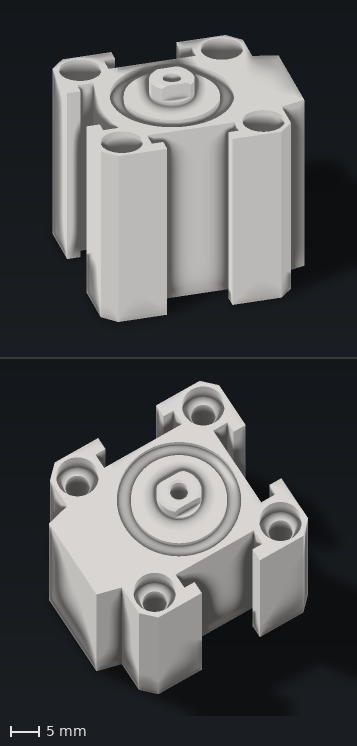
import cadquery as cq

width = 35.0
total_depth = 39.5
total_height = 38.0
rod_projection = 4.0
housing_height = total_height - rod_projection
half_width = width / 2
corner_chamfer = 2.5

lug_base_width = 18.4
lug_tip_width = 16.05
lug_tip_y = total_depth - half_width

slot_mouth_width = 12.0
slot_inner_width = 16.2
slot_lip = 2.5
slot_depth = 5.45

bolt_spacing = 26.07
bolt_diameter = 4.3
counterbore_diameter = 7.5
counterbore_depth = 4.5

groove_outer_diameter = 22.0
groove_inner_diameter = 17.0
groove_depth = 1.5

rod_diameter = 8.0
rod_embedded_length = 11.85
rod_chamfer = 0.5
flat_width = 6.0
flat_height = 3.0
flat_cut = (rod_diameter - flat_width) / 2
flat_offset = (rod_diameter + flat_width) / 4
rod_hole_diameter = 3.25
rod_hole_mouth_diameter = 4.1
rod_hole_chamfer = (rod_hole_mouth_diameter - rod_hole_diameter) / 2
rod_hole_depth = 7.9


def make_lug():
    """Tapered lug standing on the back face of the square block."""
    return (
        cq.Workplane("XY")
        .polyline([
            (-lug_base_width / 2, half_width),
            (lug_base_width / 2, half_width),
            (lug_tip_width / 2, lug_tip_y),
            (-lug_tip_width / 2, lug_tip_y),
        ])
        .close()
        .extrude(housing_height)
    )


def make_slot(angle):
    """T-slot cutter for the -Y face, turned about the rod axis by an angle in degrees."""
    mouth = cq.Workplane("XY").box(
        slot_mouth_width, slot_depth, housing_height, centered=(True, False, False)
    )
    undercut = (
        cq.Workplane("XY")
        .box(slot_inner_width, slot_depth - slot_lip, housing_height, centered=(True, False, False))
        .translate((0, slot_lip, 0))
    )
    slot = mouth.union(undercut).translate((0, -half_width, 0))
    return slot.rotate((0, 0, 0), (0, 0, 1), angle)


def make_housing():
    block = (
        cq.Workplane("XY")
        .rect(width, width)
        .extrude(housing_height)
        .edges("|Z")
        .chamfer(corner_chamfer)
        .union(make_lug())
    )
    for angle in (-90, 0, 90):
        block = block.cut(make_slot(angle))

    block = (
        block.faces(">Z")
        .workplane(origin=(0, 0, housing_height))
        .rect(bolt_spacing, bolt_spacing, forConstruction=True)
        .vertices()
        .cboreHole(bolt_diameter, counterbore_diameter, counterbore_depth)
    )

    groove = (
        cq.Workplane("XY", origin=(0, 0, housing_height))
        .circle(groove_outer_diameter / 2)
        .circle(groove_inner_diameter / 2)
        .extrude(-groove_depth)
    )
    rod_bore = (
        cq.Workplane("XY", origin=(0, 0, housing_height))
        .circle(rod_diameter / 2)
        .extrude(-rod_embedded_length)
    )
    return block.cut(groove).cut(rod_bore)


def make_rod():
    rod = (
        cq.Workplane("XY", origin=(0, 0, housing_height - rod_embedded_length))
        .circle(rod_diameter / 2)
        .extrude(rod_embedded_length + rod_projection)
        .faces(">Z")
        .chamfer(rod_chamfer)
    )

    flats = (
        cq.Workplane("XY", origin=(0, 0, total_height))
        .pushPoints([(-flat_offset, 0), (flat_offset, 0)])
        .rect(flat_cut, rod_diameter)
        .extrude(-flat_height)
    )
    rod = rod.cut(flats)

    hole = (
        cq.Workplane("XY", origin=(0, 0, total_height))
        .circle(rod_hole_diameter / 2)
        .extrude(-rod_hole_depth)
    )
    hole_mouth = cq.Workplane(cq.Solid.makeCone(
        rod_hole_mouth_diameter / 2, rod_hole_diameter / 2, rod_hole_chamfer,
        pnt=cq.Vector(0, 0, total_height), dir=cq.Vector(0, 0, -1),
    ))
    return rod.cut(hole).cut(hole_mouth)


housing = make_housing()
rod = make_rod()

result = cq.Compound.makeCompound([housing.solids().val(), rod.solids().val()])